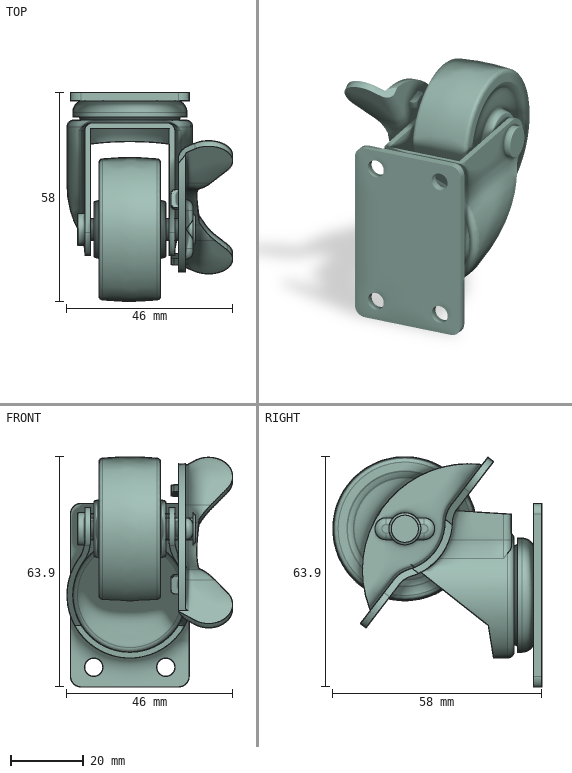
import cadquery as cq
import math


wheel_radius = 20.0
wheel_half_width = 8.55
crown_drop = 0.5
tread_fillet = 1.1
rim_inner_radius = 16.0
recess_depth = 1.0
recess_outer_radius = 14.2
hub_base_radius = 8.3
hub_top_radius = 7.7
hub_half_width = 10.0
hub_fillet = 0.6
rim_fillet = 0.3

axle_radius = 3.05
axle_head_radius = 4.45
axle_head_length = 2.0
axle_head_fillet = 0.25
rivet_length = 0.7
rivet_chamfer = 0.68

sheet = 1.6
leg_outer = 12.5
disc_radius = 17.45
flank_radius = 8.7
swivel_z = -18.43
tip_radius = 5.95
tip_y = -1.25
upper_edge_angle = 3.5
lower_edge_angle = 38.3
knee_y = 23.15
skirt_foot_y = 24.6
disc_fillet = 1.9
bridge_fillet = 2.1
floor_fillet = 1.3

back_y = 38.0
plate_width = 33.0
plate_height = 51.0
plate_thickness = 2.3
plate_corner = 3.0
hole_diameter = 5.0
hole_pitch_x = 20.0
hole_pitch_z = 40.0
cap_front = back_y - 6.75
cap_radius = 15.85
cap_dome_radius = 3.55
cap_dome_end = back_y - 5.55
disc_back = back_y - 7.65
bridge_back = back_y - 8.45
neck_cap_radius = 14.1
neck_fork_radius = 13.7

lever_sheet = 2.0
lever_inner = leg_outer + 1.0
lever_outer = lever_inner + lever_sheet
lever_tilt = 52.5
pad_face = -6.2
waist_face = -7.8
bend_start = 13.1
waist_start = 8.2
web_radius = 29.55
web_centre = (1.7, -21.1)
pad_radius = 6.7
pad_centre_x = 21.85
pad_spacing = 44.8
pad_offset = 0.7
pad_outer_angle = 34.6
pad_inner_angle = 51.8
waist_x = 18.6
inner_bend = 0.65
outer_bend = inner_bend + lever_sheet
ridge_length = 16.6
ridge_height = 2.0
ridge_fillet = 1.9
tab_length = 5.2
tab_thickness = 2.0
tab_corner = 0.7
tab_tilt = 15.0
upper_tab = (8.3, 10.6)
lower_tab = (-8.3, -15.4)


def polar(centre, radius, degrees):
    """Point at the given angle on a circle."""
    angle = math.radians(degrees)
    return (centre[0] + radius * math.cos(angle), centre[1] + radius * math.sin(angle))


class CirclesOfRadius(cq.Selector):
    """Picks the circular edges of one radius."""

    def __init__(self, radius):
        self.radius = radius

    def filter(self, objects):
        circles = [edge for edge in objects if edge.geomType() == "CIRCLE"]
        return [edge for edge in circles if math.isclose(edge.radius(), self.radius, abs_tol=1e-4)]


def make_plate():
    """Mounting plate with its domed swivel cap and the neck that meets the fork."""
    base = cq.Workplane("XZ", origin=(0, back_y, swivel_z))
    plate = base.rect(plate_width, plate_height).extrude(plate_thickness)
    plate = plate.edges("|Y").fillet(plate_corner)
    holes = base.rect(hole_pitch_x, hole_pitch_z, forConstruction=True).vertices()
    plate = plate.cut(holes.circle(hole_diameter / 2).extrude(plate_thickness))

    cap_back = back_y - plate_thickness
    dome_centre = (cap_radius - cap_dome_radius, cap_dome_end)
    dome_angle = math.degrees(math.asin((cap_back - cap_dome_end) / cap_dome_radius))
    cap = (
        cq.Workplane("XY", origin=(0, 0, swivel_z))
        .moveTo(0, cap_back)
        .lineTo(*polar(dome_centre, cap_dome_radius, dome_angle))
        .threePointArc(polar(dome_centre, cap_dome_radius, dome_angle / 2), (cap_radius, cap_dome_end))
        .lineTo(cap_radius, cap_front)
        .lineTo(neck_cap_radius, cap_front)
        .lineTo(neck_fork_radius, disc_back)
        .lineTo(0, disc_back)
        .close()
        .revolve(360, (0, 0, 0), (0, 1, 0))
    )
    return plate.union(cap)


def fork_section(inset, y):
    """Outline across the fork: two upright legs that flare into a round disc."""
    half = leg_outer - inset
    radius = disc_radius - inset
    flank = flank_radius + inset
    top = tip_radius - swivel_z + 1
    flank_z = math.sqrt((radius + flank) ** 2 - (half + flank) ** 2)
    flank_angle = math.degrees(math.atan2(flank_z, half + flank))
    join_x, join_z = polar((0, 0), radius, flank_angle)
    mid_x, mid_z = polar((half + flank, flank_z), flank, 180 + flank_angle / 2)
    return (
        cq.Workplane("XZ", origin=(0, y, swivel_z))
        .moveTo(-half, top)
        .lineTo(-half, flank_z)
        .threePointArc((-mid_x, mid_z), (-join_x, join_z))
        .threePointArc((0, -radius), (join_x, join_z))
        .threePointArc((mid_x, mid_z), (half, flank_z))
        .lineTo(half, top)
        .close()
    )


def fork_side():
    """Side outline of the fork, extruded across its whole width."""
    tip = (tip_y, 0)
    upper_normal = 90 - upper_edge_angle
    lower_normal = 270 - lower_edge_angle
    upper = polar(tip, tip_radius, upper_normal)
    lower = polar(tip, tip_radius, lower_normal)
    back_top_z = upper[1] - (back_y - upper[0]) * math.tan(math.radians(upper_edge_angle))
    knee_z = lower[1] - (knee_y - lower[0]) * math.tan(math.radians(lower_edge_angle))
    bottom_z = swivel_z - disc_radius
    return (
        cq.Workplane("YZ")
        .moveTo(back_y, back_top_z)
        .lineTo(*upper)
        .threePointArc(polar(tip, tip_radius, (upper_normal + lower_normal) / 2), lower)
        .lineTo(knee_y, knee_z)
        .lineTo(skirt_foot_y, bottom_z)
        .lineTo(back_y, bottom_z)
        .close()
        .extrude(disc_radius, both=True)
    )


def make_fork():
    """Bent sheet fork: a flared channel with a raised round disc at its back."""
    depth = bridge_back - tip_y + tip_radius
    shell = fork_section(0, bridge_back).extrude(depth).faces(">Y").edges().fillet(bridge_fillet)
    disc_depth = disc_back - skirt_foot_y
    disc = cq.Workplane("XZ", origin=(0, disc_back, swivel_z)).circle(disc_radius).extrude(disc_depth)
    shell = shell.union(disc.faces(">Y").edges().fillet(disc_fillet))

    shell = shell.cut(fork_section(sheet, bridge_back - sheet).extrude(depth))
    pan = (
        cq.Workplane("XZ", origin=(0, disc_back - sheet, swivel_z))
        .circle(disc_radius - sheet)
        .extrude(disc_depth)
        .faces(">Y")
        .edges()
        .fillet(floor_fillet)
    )
    return shell.cut(pan).intersect(fork_side())


def make_wheel():
    """Crowned wheel with recessed side faces and a raised hub."""
    edge_radius = wheel_radius - crown_drop
    recess_floor = wheel_half_width - recess_depth
    wheel = (
        cq.Workplane("XZ")
        .moveTo(-hub_half_width, axle_radius)
        .lineTo(-hub_half_width, hub_top_radius)
        .lineTo(-recess_floor, hub_base_radius)
        .lineTo(-recess_floor, recess_outer_radius)
        .lineTo(-wheel_half_width, rim_inner_radius)
        .lineTo(-wheel_half_width, edge_radius)
        .threePointArc((0, wheel_radius), (wheel_half_width, edge_radius))
        .lineTo(wheel_half_width, rim_inner_radius)
        .lineTo(recess_floor, recess_outer_radius)
        .lineTo(recess_floor, hub_base_radius)
        .lineTo(hub_half_width, hub_top_radius)
        .lineTo(hub_half_width, axle_radius)
        .close()
        .revolve(360, (0, 0, 0), (1, 0, 0))
    )
    rounded_circles = (
        (edge_radius, tread_fillet),
        (hub_top_radius, hub_fillet),
        (hub_base_radius, hub_fillet),
        (rim_inner_radius, rim_fillet),
        (recess_outer_radius, rim_fillet),
    )
    for radius, fillet in rounded_circles:
        wheel = wheel.edges(CirclesOfRadius(radius)).fillet(fillet)
    return wheel


def make_axle():
    """Axle with a round head at one end and a chamfered rivet flange at the other."""
    ridge_top = lever_outer + ridge_height
    head_start = -leg_outer - axle_head_length
    head = cq.Workplane("YZ", origin=(head_start, 0, 0)).circle(axle_head_radius).extrude(axle_head_length)
    head = head.faces("<X").edges().fillet(axle_head_fillet)
    shaft = cq.Workplane("YZ", origin=(-leg_outer, 0, 0)).circle(axle_radius).extrude(leg_outer + ridge_top)
    rivet = cq.Workplane("YZ", origin=(ridge_top, 0, 0)).circle(axle_head_radius).extrude(rivet_length)
    rivet = rivet.faces(">X").chamfer(rivet_chamfer)
    return head.union(shaft).union(rivet)


tilt = math.radians(lever_tilt)
u_direction = (0, math.cos(tilt), math.sin(tilt))
n_direction = (0, -math.sin(tilt), math.cos(tilt))


def lever_side(x):
    """Plane across the axle: local x is u and local y is n."""
    return cq.Workplane(cq.Plane(origin=(x, 0, 0), xDir=u_direction, normal=(1, 0, 0)))


def lever_point(x, u, n):
    """Point in space from lever coordinates."""
    return (x, u * u_direction[1] + n * n_direction[1], u * u_direction[2] + n * n_direction[2])


bend_angle = 2 * math.degrees(math.atan2(pad_face - waist_face, bend_start - waist_start))
bend_radius = (bend_start - waist_start) / math.sin(math.radians(bend_angle))
waist_radius = waist_start / math.sin(math.radians(bend_angle))
waist_centre = (0, waist_face + waist_radius * math.cos(math.radians(bend_angle)))
right_bend_centre = (bend_start, pad_face - bend_radius)
left_bend_centre = (-bend_start, pad_face - bend_radius)
lever_reach = pad_spacing / 2 + pad_offset + pad_radius


def follow_lever(sketch, depth, direction):
    """Add the pad-bend-waist-bend-pad line, lying `depth` behind the pad faces, along +u or -u."""
    bend = bend_radius - depth
    waist = waist_radius + depth
    first, second = left_bend_centre, right_bend_centre
    if direction < 0:
        first, second = second, first
    return (
        sketch.lineTo(first[0], pad_face - depth)
        .threePointArc(
            polar(first, bend, 90 - direction * bend_angle / 2), polar(first, bend, 90 - direction * bend_angle)
        )
        .threePointArc(
            polar(waist_centre, waist, 270), polar(waist_centre, waist, 270 + direction * bend_angle)
        )
        .threePointArc(
            polar(second, bend, 90 + direction * bend_angle / 2), (second[0], pad_face - depth)
        )
        .lineTo(direction * lever_reach, pad_face - depth)
    )


def paddle_points(side):
    """Outline of the paddle on side +1 (upper) or -1 (lower), as (x, u) points from root to waist."""
    half_spacing = pad_spacing / 2
    centre = (pad_centre_x, half_spacing)
    outer = polar(centre, pad_radius, 90 + pad_outer_angle)
    tip = polar(centre, pad_radius, (pad_outer_angle + pad_inner_angle) / 2)
    inner = polar(centre, pad_radius, pad_inner_angle - 90)
    root = (lever_inner, outer[1] - (outer[0] - lever_inner) * math.tan(math.radians(pad_outer_angle)))
    waist = (inner[0] - (inner[1] - waist_start) / math.tan(math.radians(pad_inner_angle)), waist_start)
    return [(x, side * u + pad_offset) for x, u in (root, outer, tip, inner, waist)]


def pad_outline():
    """Face outline of the lever: a round paddle at each end and a narrow waist."""
    root, outer, tip, inner, waist = paddle_points(1)
    low_root, low_outer, low_tip, low_inner, low_waist = paddle_points(-1)
    face = cq.Workplane(cq.Plane(origin=(0, 0, 0), xDir=(1, 0, 0), normal=n_direction))
    return (
        face.moveTo(*root)
        .lineTo(*outer)
        .threePointArc(tip, inner)
        .lineTo(*waist)
        .threePointArc((waist_x, pad_offset), low_waist)
        .lineTo(*low_inner)
        .threePointArc(low_tip, low_outer)
        .lineTo(*low_root)
        .close()
        .extrude(2 * wheel_radius, both=True)
    )


def make_tab(place, degrees):
    """Stop tab that reaches from the web to the side of the fork leg."""
    tab = (
        cq.Workplane("YZ", origin=(lever_inner - lever_sheet, 0, 0))
        .rect(tab_length, tab_thickness)
        .extrude(lever_sheet)
    )
    tab = tab.faces("<X").edges("|Z").chamfer(tab_corner)
    return tab.rotate((0, 0, 0), (1, 0, 0), degrees).translate((0, *place))


def make_lever():
    """Brake lever: a flat web beside the fork, bent along one edge into two foot pads."""
    strip = lever_side(lever_inner).moveTo(-lever_reach, pad_face)
    strip = follow_lever(strip, 0, 1).lineTo(lever_reach, pad_face - lever_sheet)
    strip = follow_lever(strip, lever_sheet, -1).close()
    strip = strip.extrude(pad_centre_x + pad_radius - lever_inner)

    web_drop = pad_face - web_centre[1]
    web_angle = math.degrees(math.asin(web_drop / web_radius))
    web = lever_side(lever_inner).moveTo(*polar(web_centre, web_radius, 180 - web_angle))
    web = (
        follow_lever(web, 0, 1)
        .lineTo(*polar(web_centre, web_radius, web_angle))
        .threePointArc(polar(web_centre, web_radius, 90), polar(web_centre, web_radius, 180 - web_angle))
        .close()
        .extrude(lever_sheet)
    )
    blank = web.union(strip)
    outer_corner = lever_point(lever_inner, 0, waist_centre[1] - waist_radius - lever_sheet)
    inner_corner = lever_point(lever_outer, 0, waist_centre[1] - waist_radius)
    blank = blank.edges(cq.selectors.NearestToPointSelector(outer_corner)).fillet(outer_bend)
    blank = blank.edges(cq.selectors.NearestToPointSelector(inner_corner)).fillet(inner_bend)
    ridge = (
        cq.Workplane("YZ", origin=(lever_outer, 0, 0))
        .slot2D(ridge_length, 2 * axle_radius)
        .extrude(ridge_height)
        .faces(">X")
        .edges()
        .fillet(ridge_fillet)
    )
    lever = blank.intersect(pad_outline()).union(ridge)
    return lever.union(make_tab(upper_tab, -tab_tilt)).union(make_tab(lower_tab, tab_tilt - 90))


wheel = make_wheel()
axle = make_axle()
frame = make_plate().union(make_fork()).cut(axle)
lever = make_lever().cut(axle).cut(frame)
result = cq.Compound.makeCompound([frame.val(), wheel.val(), axle.val(), lever.val()])